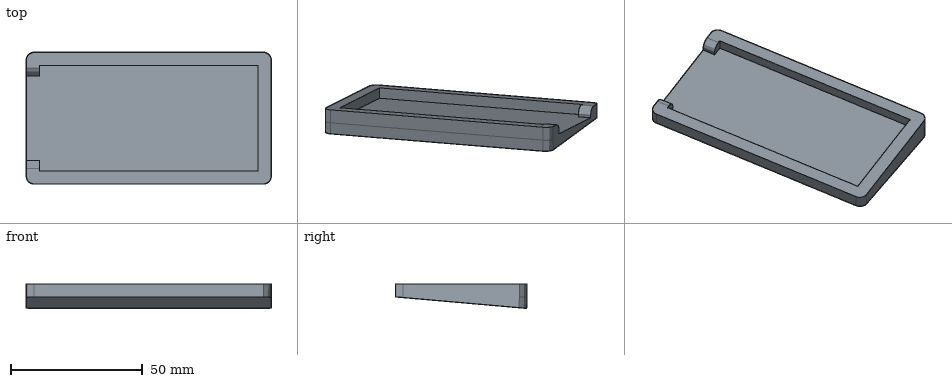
import cadquery as cq

length = 92.9
width = 50.0
plate_height = 5.0
tilt_angle = 5.0
corner_radius = 3.0
rim = 5.0
pocket_depth = 4.0
opening_width = 32.0
lip_radius = 3.0

pocket_length = length - 2 * rim
pocket_width = width - 2 * rim
floor_z = plate_height - pocket_depth


def rounded_outline():
    """Outer outline, on the plane between the tray and the tilted base."""
    return cq.Sketch().rect(length, width).vertices().fillet(corner_radius)


def tray_plate():
    return cq.Workplane("XY").placeSketch(rounded_outline()).extrude(plate_height)


def tilted_base():
    """Outline swept through the tilt angle about the line of its -Y edge."""
    hinge_y = -width / 2
    return (
        cq.Workplane("XY")
        .placeSketch(rounded_outline())
        .revolve(tilt_angle, (1, hinge_y, 0), (0, hinge_y, 0))
    )


def pocket():
    return (
        cq.Workplane("XY")
        .workplane(offset=floor_z)
        .rect(pocket_length, pocket_width)
        .extrude(pocket_depth)
    )


def wall_opening():
    """Cutter through the -X wall, flaring outward at the top around convex lips."""
    half_floor = opening_width / 2
    half_top = half_floor + lip_radius
    lip_z = plate_height - lip_radius
    return (
        cq.Workplane("YZ")
        .workplane(offset=-length / 2)
        .moveTo(-half_floor, floor_z)
        .lineTo(half_floor, floor_z)
        .lineTo(half_floor, lip_z)
        .radiusArc((half_top, plate_height), lip_radius)
        .lineTo(-half_top, plate_height)
        .radiusArc((-half_floor, lip_z), lip_radius)
        .close()
        .extrude(rim)
    )


result = tray_plate().union(tilted_base()).cut(pocket()).cut(wall_opening())